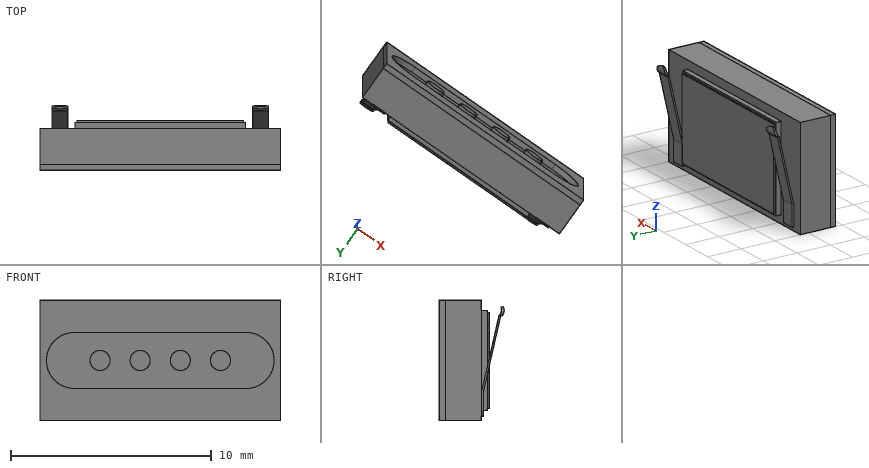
import cadquery as cq
import math

block_width = 12.0
block_height = 6.0
block_depth = 2.1
cover_thickness = 0.3

window_length = 11.34
window_height = 2.8
pad_diameter = 1.0
pad_pitch = 2.0
pad_count = 4

boss_width = 8.5
boss_height = 5.0
boss_depth = 0.3
step_inset = 0.1
step_depth = 0.1

spring_width = 0.8
spring_thickness = 0.1
spring_spacing = 10.0
spring_reach = 1.14
foot_bottom = 0.22
bend_height = 1.42
arm_top = 5.21
arm_lean = math.radians(12.9)

tip_thickness = 0.13
tip_radius = 0.36
tip_apex_height = 5.48
tip_root_angle = math.radians(70)
tip_end_angle = math.radians(35)
tip_trim_tilt = math.radians(18)
dish_radius = 3.0
dish_sweep = 30

mid_height = block_height / 2
half_spring = spring_width / 2


def slab(width, height, front, depth):
    """Box centred on the block in X and Z that runs rearward from Y = front."""
    center = (0, front + depth / 2, mid_height)
    return cq.Workplane("XY").box(width, depth, height).translate(center)


def make_cover():
    """Front plate with a stadium-shaped window through it."""
    window = (
        cq.Workplane("XZ", origin=(0, 0, mid_height))
        .slot2D(window_length, window_height)
        .extrude(-cover_thickness)
    )
    return slab(block_width, block_height, 0, cover_thickness).cut(window)


def make_housing():
    """Main block with pads flush with the cover face and a stepped boss behind."""
    core = slab(block_width, block_height, cover_thickness, block_depth - cover_thickness)
    pads = (
        cq.Workplane("XZ", origin=(0, 0, mid_height))
        .rarray(pad_pitch, 1, pad_count, 1)
        .circle(pad_diameter / 2)
        .extrude(-cover_thickness)
    )
    boss = slab(boss_width, boss_height, block_depth, boss_depth)
    step_width = boss_width - 2 * step_inset
    step_height = boss_height - 2 * step_inset
    step = slab(step_width, step_height, block_depth + boss_depth, step_depth)
    return core.union(pads).union(boss).union(step)


def make_spring_arm():
    """Foot lying on the rear face and an arm leaning away from it, centred on X = 0."""
    lean = math.tan(arm_lean)
    outer_bend = bend_height + spring_thickness * math.tan(arm_lean / 2)
    inner_end = (arm_top - bend_height) * lean
    outer_end = spring_thickness + (arm_top - outer_bend) * lean
    return (
        cq.Workplane("YZ", origin=(0, block_depth, 0))
        .moveTo(0, foot_bottom)
        .lineTo(0, bend_height)
        .lineTo(inner_end, arm_top)
        .lineTo(outer_end, arm_top)
        .lineTo(spring_thickness, outer_bend)
        .lineTo(spring_thickness, foot_bottom)
        .close()
        .extrude(half_spring, both=True)
    )


def tip_point(inset, angle):
    """Rearward offset and height of a point on the curl, set forward by the inset."""
    curl_center = spring_reach - tip_radius - inset
    return (curl_center + tip_radius * math.cos(angle), tip_apex_height + tip_radius * math.sin(angle))


def make_tip_sheet():
    """Section between two equal arcs, swept about an upright axis in front of it."""
    axis_offset = spring_reach - dish_radius
    axis_foot = (0, block_depth + axis_offset, 0)
    axis_head = (0, block_depth + axis_offset, 1)
    return (
        cq.Workplane("YZ", origin=(0, block_depth, 0))
        .moveTo(*tip_point(tip_thickness, -tip_root_angle))
        .threePointArc(tip_point(tip_thickness, 0), tip_point(tip_thickness, tip_root_angle))
        .lineTo(*tip_point(0, tip_root_angle))
        .threePointArc(tip_point(0, 0), tip_point(0, -tip_root_angle))
        .close()
        .revolve(dish_sweep, (axis_offset, 0), (axis_offset, 1))
        .rotate(axis_foot, axis_head, -dish_sweep / 2)
    )


def make_spring_tip():
    """Dished sheet trimmed to a rounded end and cut level where it meets the arm."""
    end_offset, end_height = tip_point(0, tip_end_angle)
    trim_plane = cq.Plane(
        origin=(0, block_depth + end_offset, end_height),
        xDir=(1, 0, 0),
        normal=(0, math.cos(tip_trim_tilt), math.sin(tip_trim_tilt)),
    )
    rounded_end = (
        cq.Workplane(trim_plane)
        .moveTo(-half_spring, 2 * spring_width)
        .lineTo(-half_spring, half_spring)
        .threePointArc((0, 0), (half_spring, half_spring))
        .lineTo(half_spring, 2 * spring_width)
        .close()
        .extrude(spring_width, both=True)
    )
    above_arm = (
        cq.Workplane("XY", origin=(0, block_depth + spring_reach, arm_top))
        .rect(2 * spring_width, 2 * spring_reach)
        .extrude(spring_width)
    )
    return make_tip_sheet().intersect(rounded_end).intersect(above_arm)


def make_spring(center_x):
    """One leaf spring, placed at the given X."""
    return make_spring_arm().union(make_spring_tip()).translate((center_x, 0, 0))


cover = make_cover()
housing = make_housing()
springs = [make_spring(side * spring_spacing / 2) for side in (-1, 1)]

result = cq.Compound.makeCompound([cover.val(), housing.val(), *[spring.val() for spring in springs]])